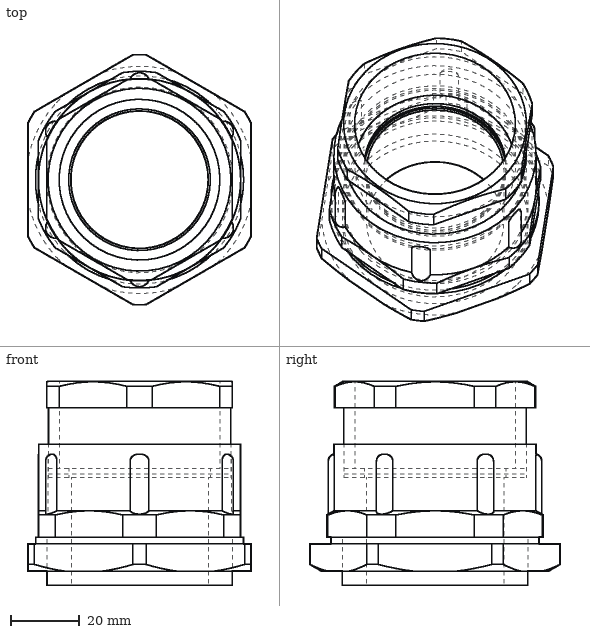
import cadquery as cq
import math

total_height = 59.55
hex_turn = 30
chamfer_slope = math.tan(math.radians(30))

thread_radius = 27.1
body_bore_radius = 20.0
body_hex_flats = 59.0
body_hex_corner_radius = 31.6
body_hex_chamfer_bottom = 20.5
sleeve_radius = body_hex_flats / 2
sleeve_top = 41.2

rib_count = 6
first_rib_angle = 30
rib_radius = 3.0
rib_reach = 31.2
rib_top = 38.3
rib_top_fillet = 2.2

locknut_bottom = 4.15
locknut_height = 7.95
locknut_flats = 65.0
locknut_corner_radius = 36.5
locknut_face_radius = 33.15

gasket_radius = 30.4
gasket_height = 2.0

ring_bore_radius = 20.65
seal_bottom = 31.5
seal_height = 1.0
thrust_ring_height = 1.6

nut_stem_radius = 26.65
nut_bore_radius = 23.4
nut_hex_height = 7.8
nut_hex_flats = 54.1
nut_hex_corner_radius = 29.35

gasket_bottom = locknut_bottom + locknut_height
body_hex_bottom = gasket_bottom + gasket_height
thrust_ring_bottom = seal_bottom + seal_height
nut_bottom = thrust_ring_bottom + thrust_ring_height
nut_hex_bottom = total_height - nut_hex_height


def disc(radius, bottom, top):
    return cq.Workplane("XY").workplane(offset=bottom).circle(radius).extrude(top - bottom)


def tube(outer_radius, bore_radius, bottom, top):
    return disc(outer_radius, bottom, top).cut(disc(bore_radius, bottom, top))


def hexagon(flats, bottom, top):
    """Hexagonal prism with corners on the Y axis and two flats facing +X and -X."""
    corner_diameter = flats / math.cos(math.pi / 6)
    prism = cq.Workplane("XY").polygon(6, corner_diameter).extrude(top - bottom)
    return prism.rotate((0, 0, 0), (0, 0, 1), hex_turn).translate((0, 0, bottom))


def turned_hexagon(flats, corner_radius, face_radius, chamfered_end, plain_end):
    """Hexagon turned down to corner_radius, coned to face_radius at its chamfered end."""
    chamfer_height = (corner_radius - face_radius) * chamfer_slope
    toward_plain = math.copysign(1, plain_end - chamfered_end)
    blank = (
        cq.Workplane("XZ")
        .moveTo(0, chamfered_end)
        .lineTo(face_radius, chamfered_end)
        .lineTo(corner_radius, chamfered_end + toward_plain * chamfer_height)
        .lineTo(corner_radius, plain_end)
        .lineTo(0, plain_end)
        .close()
        .revolve(360, (0, 0), (0, 1))
    )
    prism = hexagon(flats, min(chamfered_end, plain_end), max(chamfered_end, plain_end))
    return prism.intersect(blank)


def make_rib(angle):
    """Round-topped upright rib, half sunk in the sleeve, running down into the hexagon."""
    rib = disc(rib_radius, body_hex_bottom, rib_top).faces(">Z").edges().fillet(rib_top_fillet)
    return rib.translate((rib_reach - rib_radius, 0, 0)).rotate((0, 0, 0), (0, 0, 1), angle)


def make_gland_body():
    chamfer_height = (body_hex_corner_radius - sleeve_radius) * chamfer_slope
    body_hex_top = body_hex_chamfer_bottom + chamfer_height
    body = disc(thread_radius, 0, body_hex_bottom)
    body = body.union(
        turned_hexagon(body_hex_flats, body_hex_corner_radius, sleeve_radius, body_hex_top, body_hex_bottom)
    )
    body = body.union(disc(sleeve_radius, body_hex_bottom, sleeve_top))
    for index in range(rib_count):
        body = body.union(make_rib(first_rib_angle + index * 360 / rib_count))
    body = body.cut(disc(body_bore_radius, 0, sleeve_top))
    return body.cut(disc(nut_stem_radius, seal_bottom, sleeve_top))


def make_locknut():
    nut = turned_hexagon(
        locknut_flats, locknut_corner_radius, locknut_face_radius, locknut_bottom, gasket_bottom
    )
    return nut.cut(disc(thread_radius, locknut_bottom, gasket_bottom))


def make_pressure_nut():
    nut = disc(nut_stem_radius, nut_bottom, nut_hex_bottom)
    nut = nut.union(
        turned_hexagon(nut_hex_flats, nut_hex_corner_radius, nut_stem_radius, total_height, nut_hex_bottom)
    )
    return nut.cut(disc(nut_bore_radius, nut_bottom, total_height))


gland_body = make_gland_body()
locknut = make_locknut()
gasket = tube(gasket_radius, thread_radius, gasket_bottom, body_hex_bottom)
seal_ring = tube(nut_stem_radius, ring_bore_radius, seal_bottom, thrust_ring_bottom)
thrust_ring = tube(nut_stem_radius, ring_bore_radius, thrust_ring_bottom, nut_bottom)
pressure_nut = make_pressure_nut()

result = cq.Compound.makeCompound(
    [
        gland_body.val(),
        locknut.val(),
        gasket.val(),
        seal_ring.val(),
        thrust_ring.val(),
        pressure_nut.val(),
    ]
)